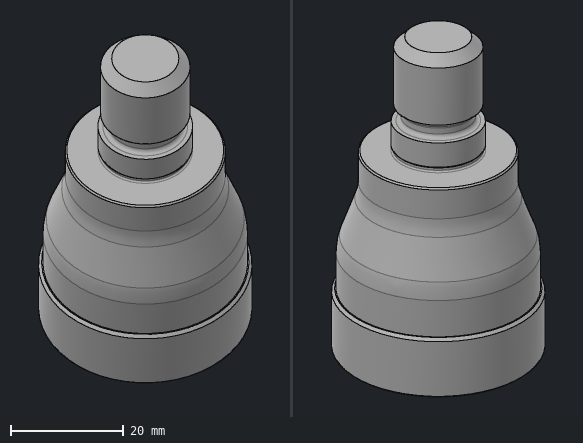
import cadquery as cq
import math

TOTAL_HEIGHT = 63.0

RING_DIAMETER = 38.1
RING_HEIGHT = 12.0
RING_TOP_CHAMFER = 0.55
RING_BOTTOM_CHAMFER = 0.3

BODY_RADIUS = 18.3
BODY_STRAIGHT_TOP = 19.35
SHOULDER_RADIUS = 14.3
SHOULDER_HEIGHT = 39.95
SHOULDER_CHAMFER = 0.3
BLEND_RADIUS = 10.0
CONE_ANGLE = math.radians(20)

PILOT_RADIUS = 8.45
PILOT_BOTTOM = 41.1
PILOT_TOP = 46.0
RELIEF_DEPTH = 0.3

STUD_RADIUS = 8.0
STUD_BOTTOM = 49.4
STUD_CHAMFER = 2.0
NECK_RADIUS = 6.7
NECK_FILLET = 0.9
RUNOUT_ANGLE = math.radians(50)
RUNOUT_FILLET = 0.5

ARC_MID_OFFSET = 1 - math.sqrt(0.5)


def make_ring():
    """Plain disc with a chamfer on each rim."""
    ring = cq.Workplane("XY").circle(RING_DIAMETER / 2).extrude(RING_HEIGHT)
    ring = ring.faces(">Z").chamfer(RING_TOP_CHAMFER)
    return ring.faces("<Z").chamfer(RING_BOTTOM_CHAMFER)


def add_taper(profile):
    """Continue the profile up from the lower cylinder, along an S-curve, to the shoulder cylinder."""
    arc_height = BLEND_RADIUS * math.sin(CONE_ANGLE)
    arc_inset = BLEND_RADIUS * (1 - math.cos(CONE_ANGLE))
    half_height = BLEND_RADIUS * math.sin(CONE_ANGLE / 2)
    half_inset = BLEND_RADIUS * (1 - math.cos(CONE_ANGLE / 2))

    cone_inset = BODY_RADIUS - SHOULDER_RADIUS - 2 * arc_inset
    cone_height = cone_inset / math.tan(CONE_ANGLE)
    cone_bottom = BODY_STRAIGHT_TOP + arc_height
    cone_top = cone_bottom + cone_height
    taper_top = cone_top + arc_height

    return (
        profile
        .lineTo(BODY_RADIUS, BODY_STRAIGHT_TOP)
        .threePointArc(
            (BODY_RADIUS - half_inset, BODY_STRAIGHT_TOP + half_height),
            (BODY_RADIUS - arc_inset, cone_bottom),
        )
        .lineTo(SHOULDER_RADIUS + arc_inset, cone_top)
        .threePointArc(
            (SHOULDER_RADIUS + half_inset, taper_top - half_height),
            (SHOULDER_RADIUS, taper_top),
        )
    )


def add_shoulder_and_pilot(profile):
    """Continue the profile over the shoulder, through the relief groove and up the pilot collar."""
    relief_radius = PILOT_RADIUS - RELIEF_DEPTH
    fillet_mid = RELIEF_DEPTH * ARC_MID_OFFSET
    relief_top = PILOT_BOTTOM - RELIEF_DEPTH
    return (
        profile
        .lineTo(SHOULDER_RADIUS, SHOULDER_HEIGHT - SHOULDER_CHAMFER)
        .lineTo(SHOULDER_RADIUS - SHOULDER_CHAMFER, SHOULDER_HEIGHT)
        .lineTo(PILOT_RADIUS, SHOULDER_HEIGHT)
        .threePointArc(
            (relief_radius + fillet_mid, SHOULDER_HEIGHT + fillet_mid),
            (relief_radius, SHOULDER_HEIGHT + RELIEF_DEPTH),
        )
        .lineTo(relief_radius, relief_top)
        .lineTo(PILOT_RADIUS, PILOT_BOTTOM)
        .lineTo(PILOT_RADIUS, PILOT_TOP)
    )


def add_stud(profile):
    """Continue the profile through the filleted neck and up the stud to its flat tip."""
    runout_arc_height = RUNOUT_FILLET * math.sin(RUNOUT_ANGLE)
    runout_arc_inset = RUNOUT_FILLET * (1 - math.cos(RUNOUT_ANGLE))
    runout_mid_height = RUNOUT_FILLET * math.sin(RUNOUT_ANGLE / 2)
    runout_mid_inset = RUNOUT_FILLET * (1 - math.cos(RUNOUT_ANGLE / 2))
    cone_start_radius = NECK_RADIUS + runout_arc_inset
    cone_start = STUD_BOTTOM - (STUD_RADIUS - cone_start_radius) / math.tan(RUNOUT_ANGLE)
    neck_top = cone_start - runout_arc_height
    fillet_mid = NECK_FILLET * ARC_MID_OFFSET
    return (
        profile
        .lineTo(NECK_RADIUS + NECK_FILLET, PILOT_TOP)
        .threePointArc(
            (NECK_RADIUS + fillet_mid, PILOT_TOP + fillet_mid),
            (NECK_RADIUS, PILOT_TOP + NECK_FILLET),
        )
        .lineTo(NECK_RADIUS, neck_top)
        .threePointArc(
            (NECK_RADIUS + runout_mid_inset, neck_top + runout_mid_height),
            (cone_start_radius, cone_start),
        )
        .lineTo(STUD_RADIUS, STUD_BOTTOM)
        .lineTo(STUD_RADIUS, TOTAL_HEIGHT - STUD_CHAMFER)
        .lineTo(STUD_RADIUS - STUD_CHAMFER, TOTAL_HEIGHT)
        .lineTo(0, TOTAL_HEIGHT)
    )


def make_adapter():
    """Tapered body, pilot collar and stud turned as one piece, seated on the ring."""
    profile = cq.Workplane("XZ").moveTo(0, RING_HEIGHT).lineTo(BODY_RADIUS, RING_HEIGHT)
    profile = add_taper(profile)
    profile = add_shoulder_and_pilot(profile)
    profile = add_stud(profile)
    return profile.close().revolve(360, (0, 0, 0), (0, 1, 0))


ring = make_ring()
adapter = make_adapter()

result = cq.Compound.makeCompound([ring.val(), adapter.val()])